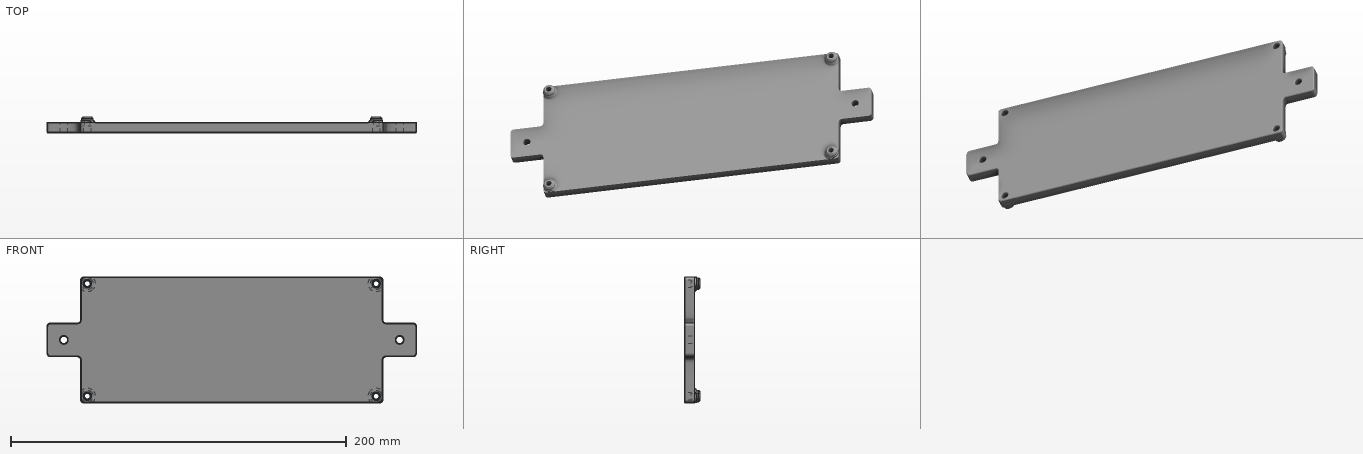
import cadquery as cq

overall_length = 220.0
overall_depth = 9.5
body_length = 180.0
body_height = 75.0
tab_height = 20.0
corner_radius = 2.0
front_chamfer = 0.4

tab_hole_diameter = 4.4
tab_hole_inset = 10.0

boss_height = 3.4
boss_inset = 4.0
boss_diameter = 7.0
boss_tip_diameter = 5.0
boss_tip_length = 1.0
boss_foot_width = 1.3
boss_foot_height = 1.5
boss_trim_diameter = 7.65
screw_hole_diameter = 3.4
screw_bore_diameter = 4.3
screw_bore_depth = 4.0

plate_thickness = overall_depth - boss_height
boss_trim_radius = boss_trim_diameter / 2
boss_x = body_length / 2 - boss_inset
boss_z = body_height / 2 - boss_inset
boss_positions = [(side * boss_x, level * boss_z) for side in (-1, 1) for level in (-1, 1)]
tab_hole_x = overall_length / 2 - tab_hole_inset
tab_hole_positions = [(-tab_hole_x, 0), (tab_hole_x, 0)]


def xz_plane(y=0):
    """Sketch plane at depth y; negative extrusions run toward +Y."""
    return cq.Workplane("XZ", origin=(0, y, 0))


def make_plate():
    """Body and tabs with rounded corners and a chamfered front outline."""
    body = xz_plane().rect(body_length, body_height).extrude(-plate_thickness)
    tabs = xz_plane().rect(overall_length, tab_height).extrude(-plate_thickness)
    plate = body.union(tabs).edges("|Y").fillet(corner_radius)
    return plate.faces("<Y").chamfer(front_chamfer)


def make_boss(x, z):
    """Turned boss: flared foot, straight middle and conical tip."""
    radius = boss_diameter / 2
    profile = [
        (0, 0),
        (radius + boss_foot_width, 0),
        (radius, boss_foot_height),
        (radius, boss_height - boss_tip_length),
        (boss_tip_diameter / 2, boss_height),
        (0, boss_height),
    ]
    boss = cq.Workplane("XY").polyline(profile).close().revolve(360, (0, 0), (0, 1))
    return boss.translate((x, plate_thickness, z))


def make_boss_trim():
    """Rounded block just inside the body's sides, its corners concentric with the bosses."""
    trim_length = 2 * (boss_x + boss_trim_radius)
    trim_height = 2 * (boss_z + boss_trim_radius)
    block = xz_plane(plate_thickness).rect(trim_length, trim_height).extrude(-boss_height)
    return block.edges("|Y").fillet(boss_trim_radius)


def round_holes(positions, diameter, depth):
    """Cylinders running from the front face toward +Y."""
    return xz_plane().pushPoints(positions).circle(diameter / 2).extrude(-depth)


def chamfered_mouths(positions, diameter):
    """45-degree cones that widen holes of the given diameter at the front face."""
    mouth_radius = diameter / 2 + front_chamfer
    return xz_plane().pushPoints(positions).circle(mouth_radius).extrude(-front_chamfer, taper=45)


def cut_tab_holes(part):
    part = part.cut(round_holes(tab_hole_positions, tab_hole_diameter, overall_depth))
    return part.cut(chamfered_mouths(tab_hole_positions, tab_hole_diameter))


def cut_screw_holes(part):
    """Through holes with a wider, chamfered bore from the front."""
    part = part.cut(round_holes(boss_positions, screw_hole_diameter, overall_depth))
    part = part.cut(round_holes(boss_positions, screw_bore_diameter, screw_bore_depth))
    return part.cut(chamfered_mouths(boss_positions, screw_bore_diameter))


part = make_plate()
boss_trim = make_boss_trim()
for boss_position in boss_positions:
    part = part.union(make_boss(*boss_position).intersect(boss_trim))
result = cut_screw_holes(cut_tab_holes(part))